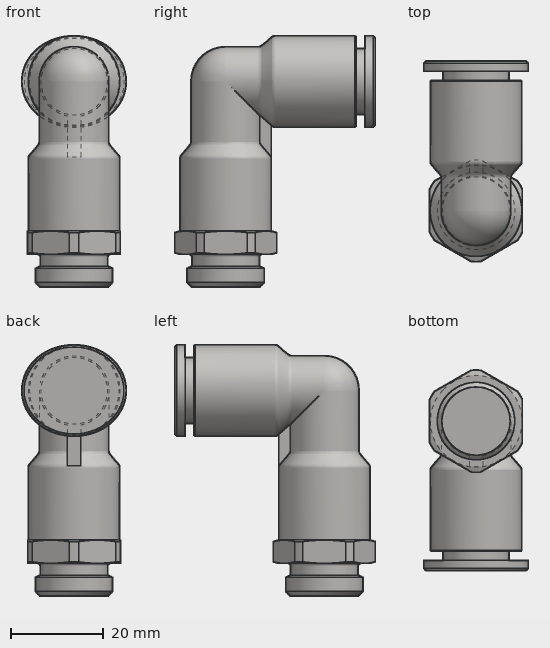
import cadquery as cq

axis_height = 44.2
leg_radius = 7.5
body_radius = 9.85
shoulder_length = 2.75
shoulder_blend = 1.0
web_thickness = 3.0

thread_radius = 8.33
thread_length = 4.0
thread_chamfer = 1.0
relief_radius = 7.3
relief_taper = 0.5
relief_blend = 0.5
hex_bottom = 7.0
hex_top = 12.05
hex_across_flats = 20.0
hex_corner_diameter = 22.0
hex_chamfer_height = 0.35
lower_shoulder_offset = 13.4

tube_shoulder_offset = 7.45
tube_body_end = 28.05
tube_edge_chamfer = 0.25
ring_neck_radius = 7.15
ring_flange_start = 29.95
ring_flange_end = 32.2
ring_flange_half_width = 11.25
ring_flange_half_height = 9.85
ring_edge_chamfer = 0.5


def make_shouldered_leg(shoulder_offset, body_end):
    """Leg along +Z that widens through a blended cone into the body."""
    shoulder_end = shoulder_offset + shoulder_length
    leg = (
        cq.Workplane("XZ")
        .moveTo(0, 0)
        .lineTo(leg_radius, 0)
        .lineTo(leg_radius, shoulder_offset)
        .lineTo(body_radius, shoulder_end)
        .lineTo(body_radius, body_end)
        .lineTo(0, body_end)
        .close()
        .revolve(360, (0, 0, 0), (0, 1, 0))
    )
    margin = shoulder_blend / 2
    shoulder_edges = cq.selectors.BoxSelector(
        (-2 * body_radius, -2 * body_radius, shoulder_offset - margin),
        (2 * body_radius, 2 * body_radius, shoulder_end + margin),
    )
    return leg.edges(shoulder_edges).edges("%CIRCLE").fillet(shoulder_blend)


def make_vertical_leg():
    leg = make_shouldered_leg(lower_shoulder_offset, axis_height - hex_top)
    return leg.rotate((0, 0, 0), (1, 0, 0), 180).translate((0, 0, axis_height))


def make_tube_leg():
    leg = make_shouldered_leg(tube_shoulder_offset, tube_body_end)
    leg = leg.faces(">Z").edges().chamfer(tube_edge_chamfer)
    return leg.rotate((0, 0, 0), (1, 0, 0), -90).translate((0, 0, axis_height))


def make_elbow_dome():
    return cq.Workplane("XY").sphere(leg_radius).translate((0, 0, axis_height))


def make_web():
    """Flat web filling the inner corner between the two legs."""
    web_bottom = axis_height - lower_shoulder_offset - shoulder_length
    return cq.Workplane("XY").box(
        web_thickness, body_radius, axis_height - web_bottom, centered=(True, False, False)
    ).translate((0, 0, web_bottom))


def make_hexagon():
    """Hexagon with flats facing +X and -X and its corners turned down and coned."""
    corner_radius = hex_corner_diameter / 2
    corner_limit = (
        cq.Workplane("XZ")
        .moveTo(0, hex_bottom)
        .lineTo(body_radius, hex_bottom)
        .lineTo(corner_radius, hex_bottom + hex_chamfer_height)
        .lineTo(corner_radius, hex_top - hex_chamfer_height)
        .lineTo(body_radius, hex_top)
        .lineTo(0, hex_top)
        .close()
        .revolve(360, (0, 0, 0), (0, 1, 0))
    )
    return (
        cq.Workplane("XY", origin=(0, 0, hex_bottom))
        .polygon(6, hex_across_flats, circumscribed=True)
        .extrude(hex_top - hex_bottom)
        .intersect(corner_limit)
    )


def make_threaded_end():
    """Threaded end without modelled threads, with a relief under the hexagon."""
    return (
        cq.Workplane("XZ")
        .moveTo(0, 0)
        .lineTo(thread_radius - thread_chamfer, 0)
        .lineTo(thread_radius, thread_chamfer)
        .lineTo(thread_radius, thread_length)
        .lineTo(relief_radius, thread_length + relief_taper)
        .lineTo(relief_radius, hex_bottom - relief_blend)
        .radiusArc((relief_radius + relief_blend, hex_bottom), relief_blend)
        .lineTo(0, hex_bottom)
        .close()
        .revolve(360, (0, 0, 0), (0, 1, 0))
    )


def make_release_ring():
    """Push-in release ring: a round neck carrying an oval flange."""
    neck = (
        cq.Workplane("XZ", origin=(0, tube_body_end, axis_height))
        .circle(ring_neck_radius)
        .extrude(tube_body_end - ring_flange_start)
    )
    flange = (
        cq.Workplane("XZ", origin=(0, ring_flange_start, axis_height))
        .ellipse(ring_flange_half_width, ring_flange_half_height)
        .extrude(ring_flange_start - ring_flange_end)
        .faces(">Y")
        .edges()
        .chamfer(ring_edge_chamfer)
    )
    return neck.union(flange)


result = (
    make_vertical_leg()
    .union(make_tube_leg())
    .union(make_elbow_dome())
    .union(make_web())
    .union(make_hexagon())
    .union(make_threaded_end())
    .union(make_release_ring())
)